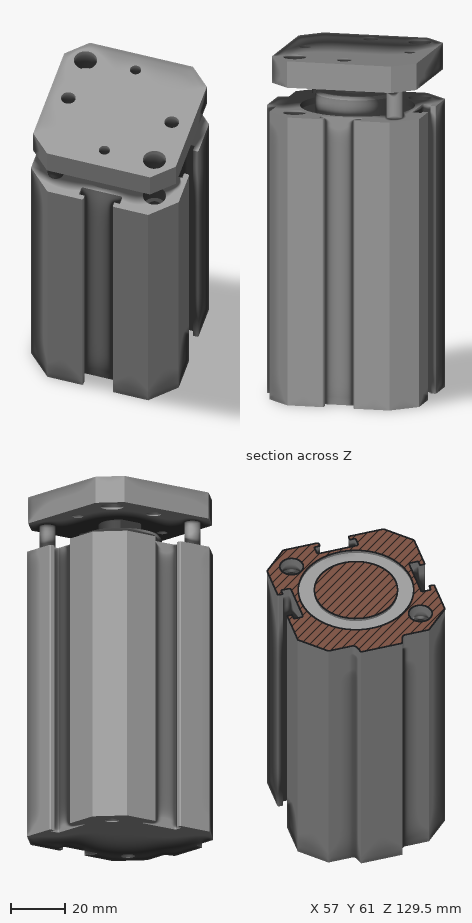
import cadquery as cq

TOTAL_HEIGHT = 129.5
PLATE_THICKNESS = 10.0
HOUSING_HEIGHT = 108.5
PLATE_BOTTOM = TOTAL_HEIGHT - PLATE_THICKNESS

HOUSING_WIDTH = 57.0
HOUSING_CORNER = 9.1
HALF_HOUSING = HOUSING_WIDTH / 2

RAIL_HEIGHT = 4.0
RAIL_TOP_HALF = 8.0
RAIL_ROOT_HALF = 9.2
RAIL_FOOT_RADIUS = 1.5

SLOT_OPENING_HALF = 5.7
SLOT_LIP_CHAMFER = 0.4
SLOT_LIP_THICKNESS = 2.1
SLOT_DEPTH = 5.6
SLOT_INNER_HALF = 7.9
SLOT_FLOOR_CHAMFER = 0.4
SLOT_ANGLES = (-90, 0, 90)

RECESS_DIAMETER = 42.5
RECESS_DEPTH = 2.3
COLLAR_DIAMETER = 31.0
COLLAR_TOP = 114.6
COLLAR_CHAMFER_WIDTH = 0.9
COLLAR_CHAMFER_HEIGHT = 1.2

ROD_DIAMETER = 16.0
ROD_END_CHAMFER = 0.4
FLAT_SPACING = 12.7
FLAT_BOTTOM = 115.5

CORNER_OFFSET = 19.0
GUIDE_PINS = [(-CORNER_OFFSET, -CORNER_OFFSET), (CORNER_OFFSET, CORNER_OFFSET)]
MOUNTING_HOLES = [(-CORNER_OFFSET, CORNER_OFFSET), (CORNER_OFFSET, -CORNER_OFFSET)]
PIN_DIAMETER = 6.0
ACCESS_DIAMETER = 8.5
COUNTERBORE_DEPTH = 6.5
MOUNTING_DIAMETER = 5.3

PLATE_WIDTH = 55.0
PLATE_CORNER = 7.6
PLATE_HOLE_OFFSET = 20.0
PLATE_LARGE_HOLE = 5.5
PLATE_SMALL_HOLE = 4.1


def cylinder(diameter, bottom, top, places=((0, 0),)):
    """Upright cylinders between two heights, one at each place."""
    base = cq.Workplane("XY", origin=(0, 0, bottom))
    return base.pushPoints(places).circle(diameter / 2).extrude(top - bottom)


def cornered_block(width, corner, bottom, top):
    """Square block with its four upright edges cut at 45 degrees."""
    block = cq.Workplane("XY", origin=(0, 0, bottom)).rect(width, width).extrude(top - bottom)
    return block.edges("|Z").chamfer(corner)


def mirrored_outline(half):
    """Points of an outline symmetric about the Y axis, given those of its +X half."""
    return half + [(-x, y) for x, y in reversed(half)]


def back_rail():
    """Tapered rail along the full height of the back face."""
    half = [
        (RAIL_ROOT_HALF, HALF_HOUSING),
        (RAIL_TOP_HALF, HALF_HOUSING + RAIL_HEIGHT),
    ]
    return cq.Workplane("XY").polyline(mirrored_outline(half)).close().extrude(HOUSING_HEIGHT)


def t_slot():
    """Full-height T-slot cutter for the front (-Y) face."""
    lip_back = -HALF_HOUSING + SLOT_LIP_THICKNESS
    floor = -HALF_HOUSING + SLOT_DEPTH
    half = [
        (SLOT_OPENING_HALF + SLOT_LIP_CHAMFER, -HALF_HOUSING),
        (SLOT_OPENING_HALF, -HALF_HOUSING + SLOT_LIP_CHAMFER),
        (SLOT_OPENING_HALF, lip_back),
        (SLOT_INNER_HALF, lip_back),
        (SLOT_INNER_HALF, floor - SLOT_FLOOR_CHAMFER),
        (SLOT_INNER_HALF - SLOT_FLOOR_CHAMFER, floor),
    ]
    return cq.Workplane("XY").polyline(mirrored_outline(half)).close().extrude(HOUSING_HEIGHT)


def rod_collar(bottom):
    """Round collar with a bevelled top rim."""
    collar = cylinder(COLLAR_DIAMETER, bottom, COLLAR_TOP)
    return collar.faces(">Z").chamfer(COLLAR_CHAMFER_HEIGHT, COLLAR_CHAMFER_WIDTH)


def make_housing():
    """Fixed body: slotted profile with its back rail, top recess, rod collar and mounting holes."""
    housing = cornered_block(HOUSING_WIDTH, HOUSING_CORNER, 0, HOUSING_HEIGHT).union(back_rail())
    for side in (-1, 1):
        rail_foot = cq.NearestToPointSelector((side * RAIL_ROOT_HALF, HALF_HOUSING, HOUSING_HEIGHT / 2))
        housing = housing.edges("|Z").edges(rail_foot).fillet(RAIL_FOOT_RADIUS)
    for angle in SLOT_ANGLES:
        housing = housing.cut(t_slot().rotate((0, 0, 0), (0, 0, 1), angle))
    recess_floor = HOUSING_HEIGHT - RECESS_DEPTH
    housing = housing.cut(cylinder(RECESS_DIAMETER, recess_floor, HOUSING_HEIGHT))
    housing = housing.union(rod_collar(recess_floor))
    housing = housing.cut(cylinder(MOUNTING_DIAMETER, 0, HOUSING_HEIGHT, MOUNTING_HOLES))
    counterbore_floor = HOUSING_HEIGHT - COUNTERBORE_DEPTH
    return housing.cut(cylinder(ACCESS_DIAMETER, counterbore_floor, HOUSING_HEIGHT, MOUNTING_HOLES))


def piston_rod():
    """Rod from the collar to the end plate, with two flats facing -X and +X."""
    rod = cylinder(ROD_DIAMETER, COLLAR_TOP, PLATE_BOTTOM).faces(">Z").chamfer(ROD_END_CHAMFER)
    flats_base = cq.Workplane("XY", origin=(0, 0, FLAT_BOTTOM))
    flatted = flats_base.rect(FLAT_SPACING, ROD_DIAMETER).extrude(PLATE_BOTTOM - FLAT_BOTTOM)
    shoulder = cylinder(ROD_DIAMETER, COLLAR_TOP, FLAT_BOTTOM)
    return rod.intersect(flatted.union(shoulder))


def end_plate():
    """Square plate with cut corners and three pairs of through holes."""
    plate = cornered_block(PLATE_WIDTH, PLATE_CORNER, PLATE_BOTTOM, TOTAL_HEIGHT)
    hole_sets = (
        (ACCESS_DIAMETER, MOUNTING_HOLES),
        (PLATE_LARGE_HOLE, [(-PLATE_HOLE_OFFSET, 0), (PLATE_HOLE_OFFSET, 0)]),
        (PLATE_SMALL_HOLE, [(0, -PLATE_HOLE_OFFSET), (0, PLATE_HOLE_OFFSET)]),
    )
    for diameter, places in hole_sets:
        plate = plate.cut(cylinder(diameter, PLATE_BOTTOM, TOTAL_HEIGHT, places))
    return plate


def make_slide():
    """Moving body: end plate, piston rod and guide pins in one piece."""
    guide_pins = cylinder(PIN_DIAMETER, HOUSING_HEIGHT, PLATE_BOTTOM, GUIDE_PINS)
    return end_plate().union(piston_rod()).union(guide_pins)


housing = make_housing()
slide = make_slide()

result = cq.Compound.makeCompound([housing.val(), slide.val()])